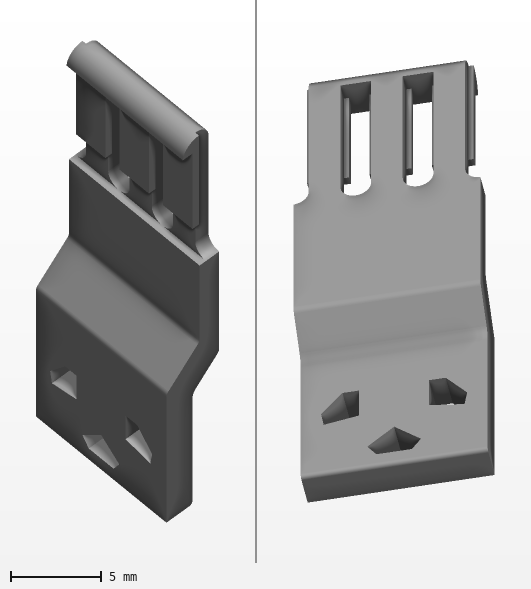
import cadquery as cq
import math

width = 10.5
depth = 4.0
height = 30.2
upper_thickness = 1.48
lower_back = 2.02

front_bend_top = 13.47
front_bend_bottom = front_bend_top - (depth - upper_thickness)
back_bend_top = 11.45
back_bend_bottom = back_bend_top - lower_back
bend_radius = 0.5
lower_back_radius = 1.0
bottom_edge_radius = 0.25

shoulder_z = 19.95
pad_bottom = 22.6
finger_thickness = 1.0
finger_pitch = width / 3
neck_gap = 1.72
pad_gap = 1.15
neck_gap_radius = neck_gap / 2

head_bottom = 29.05
lip_radius = 1.2

side_opening = [(-2.9, 6.3), (-1.95, 6.3), (-1.95, 4.3), (-3.95, 3.95), (-4.1, 4.85)]
centre_opening = [(0, 2.95), (1.5, 1.65), (1.0, 0.95), (-1.0, 0.95), (-1.5, 1.65)]

front_y = -depth / 2
back_y = depth / 2
layer_y = back_y - finger_thickness
pad_y = back_y - upper_thickness
cut_depth = 2 * depth


def extrude_across(profile, length):
    """Extrude a YZ profile symmetrically about X = 0."""
    return profile.extrude(length / 2, both=True)


def box(x_size, y_min, y_max, z_min, z_max, x_centre=0):
    return cq.Workplane("XY").box(
        x_size, y_max - y_min, z_max - z_min, centered=(True, False, False)
    ).translate((x_centre, y_min, z_min))


def make_plate():
    lower_back_y = back_y - lower_back
    plate = extrude_across(
        cq.Workplane("YZ").polyline([
            (front_y, 0),
            (lower_back_y, 0),
            (lower_back_y, back_bend_bottom),
            (back_y, back_bend_top),
            (back_y, shoulder_z),
            (pad_y, shoulder_z),
            (pad_y, front_bend_top),
            (front_y, front_bend_bottom),
        ]).close(),
        width,
    )
    for y, z, radius in (
        (pad_y, front_bend_top, bend_radius),
        (front_y, front_bend_bottom, bend_radius),
        (back_y, back_bend_top, bend_radius),
        (lower_back_y, back_bend_bottom, lower_back_radius),
        (lower_back_y, 0, bottom_edge_radius),
    ):
        plate = plate.edges(cq.selectors.NearestToPointSelector((0, y, z))).fillet(radius)
    return plate


def make_back_layer():
    """Finger layer with its top back edge fully rounded."""
    layer = box(width, layer_y, back_y, shoulder_z, height - finger_thickness)
    rounded_top = extrude_across(
        cq.Workplane("YZ")
        .moveTo(layer_y, height - finger_thickness)
        .lineTo(back_y, height - finger_thickness)
        .radiusArc((layer_y, height), -finger_thickness)
        .close(),
        width - neck_gap,
    )
    layer = layer.union(rounded_top)
    arc_z = shoulder_z + neck_gap_radius
    for index in (-1.5, -0.5, 0.5, 1.5):
        x = index * finger_pitch
        gap_top = height if abs(index) > 1 else head_bottom
        gap = box(neck_gap, layer_y, back_y, arc_z, gap_top, x)
        round_end = (
            cq.Workplane("XZ", origin=(x, back_y, arc_z))
            .circle(neck_gap_radius)
            .extrude(finger_thickness)
        )
        layer = layer.cut(gap).cut(round_end)
    return layer


def make_pads():
    pad_width = finger_pitch - pad_gap
    pads = cq.Workplane("XY")
    for index in (-1, 0, 1):
        pads = pads.union(
            box(pad_width, pad_y, layer_y, pad_bottom, head_bottom, index * finger_pitch)
        )
    return pads


def make_lip():
    """Rounded lip overhanging the fronts of the pads."""
    centre_z = height - lip_radius
    rise = head_bottom - centre_z
    reach = math.sqrt(lip_radius**2 - rise**2)
    return extrude_across(
        cq.Workplane("YZ")
        .moveTo(layer_y, head_bottom)
        .lineTo(layer_y, height)
        .radiusArc((layer_y - reach, head_bottom), -lip_radius)
        .close(),
        width - pad_gap,
    )


def opening_cutter(corners):
    return cq.Workplane("XZ").polyline(corners).close().extrude(cut_depth / 2, both=True)


result = make_plate().union(make_back_layer()).union(make_pads()).union(make_lip())
side_cutter = opening_cutter(side_opening)
for cutter in (side_cutter, side_cutter.mirror("YZ"), opening_cutter(centre_opening)):
    result = result.cut(cutter)